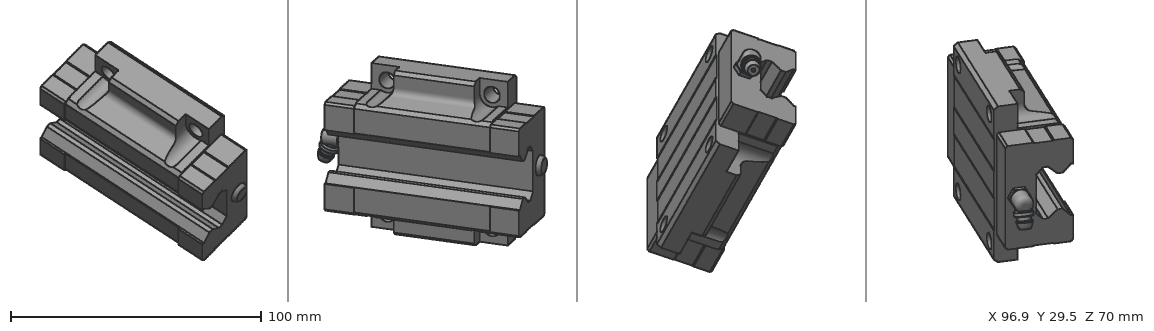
import cadquery as cq
import math


block_length = 58.5
block_bottom = 0.6
block_top = 29.5
flange_half_width = 35.0
flange_underside = 13.4
flange_chamfer_depth = 1.7
flange_chamfer_width = 1.5
wall_root_half_width = 25.7
wall_foot_half_width = 23.8
wall_foot_level = 2.4
foot_half_width = 22.1
root_fillet = 2.9
relief_inner = 6.1
relief_outer = 20.5
relief_depth = 0.3

hole_diameter = 6.8
hole_spacing_x = 45.0
hole_spacing_z = 57.0
pad_level = 19.6
pad_radius = 5.2
pad_wall_half_width = 24.0

channel_roof = 15.4
channel_roof_half_width = 8.6
channel_half_width = 11.5
channel_upper_corner = 12.6
channel_lower_corner = 10.5
ridge_half_width = 8.0
ridge_top = 6.5
ridge_bottom = 4.4
channel_mouth = 1.0

overall_cap_length = 83.5
cap_top = 28.3
cap_half_width = 23.3
cap_chamfer = 1.0
groove_depth = 0.3
groove_top = 16.7
groove_top_inner = 16.3
groove_bottom_inner = 8.5
groove_bottom = 7.95

fitting_level = 22.6
hex_sides = 6
hex_flats = 8.0
hex_thickness = 1.9
hex_bevel_angle = 30
elbow_diameter = 7.9
elbow_length = 9.6
elbow_round = 2.5
nozzle_setback = 5.0
nozzle_tilt = 22.5
stem_radius = 3.3
stem_length = 3.2
collar_radius = 8.0 / 2
collar_start = 4.1
collar_end = 5.8
collar_edge = 0.4
neck_radius = 5.5 / 2
head_start = 7.5
head_radius = 3.4
head_edge = 0.2
head_shoulder = 8.2
head_taper_radius = 2.9
head_taper_start = 9.7
tip_radius = 2.3
nozzle_length = 11.0
bore_diameter = 1.55
bore_depth = 1.0
plug_base_radius = 4.3
plug_tip_radius = 3.2
plug_length = 2.0
plug_mid_radius = 3.9
plug_mid_length = 1.2

cap_face = overall_cap_length / 2
block_face = block_length / 2


def mirrored_prism(half_outline, length):
    """Extrude an outline of (Y, Z) points, mirrored about Z = 0, centred along X."""
    other_half = [(y, -z) for y, z in reversed(half_outline)]
    section = cq.Workplane("YZ").polyline(half_outline + other_half).close()
    return section.extrude(length / 2, both=True)


def make_block():
    block = mirrored_prism(
        [
            (block_top, flange_half_width - flange_chamfer_width),
            (block_top - flange_chamfer_depth, flange_half_width),
            (flange_underside + flange_chamfer_depth, flange_half_width),
            (flange_underside, flange_half_width - flange_chamfer_width),
            (flange_underside, wall_root_half_width),
            (wall_foot_level, wall_foot_half_width),
            (block_bottom, foot_half_width),
        ],
        block_length,
    )
    for side in (-1, 1):
        root = (0, flange_underside, side * wall_root_half_width)
        block = block.edges(cq.selectors.NearestToPointSelector(root)).fillet(root_fillet)
    relief_width = relief_outer - relief_inner
    relief = (
        cq.Workplane("XY")
        .box(block_length, 2 * relief_depth, relief_width)
        .translate((0, block_top, relief_inner + relief_width / 2))
    )
    return block.cut(relief).cut(relief.mirror("XY"))


def make_pad_cut():
    """Clearance below one mounting hole, open to the block end and the flange edge."""
    hole_x = hole_spacing_x / 2
    hole_z = hole_spacing_z / 2
    inner_x = hole_x - pad_radius

    def clearance(x_start, z_start):
        size = (block_face - x_start, pad_level, flange_half_width - z_start)
        return cq.Workplane("XY").box(*size, centered=False).translate((x_start, 0, z_start))

    round_cut = cq.Workplane("XZ").center(hole_x, hole_z).circle(pad_radius).extrude(-pad_level)
    return round_cut.union(clearance(hole_x, pad_wall_half_width)).union(clearance(inner_x, hole_z))


def make_channel():
    return mirrored_prism(
        [
            (channel_roof, channel_roof_half_width),
            (channel_upper_corner, channel_half_width),
            (channel_lower_corner, channel_half_width),
            (ridge_top, ridge_half_width),
            (ridge_bottom, ridge_half_width),
            (channel_mouth, channel_half_width),
            (0, channel_half_width),
        ],
        overall_cap_length,
    )


def make_caps():
    """Both end caps, cut from one bar that leaves a gap for the block."""
    groove_half_width = cap_half_width - groove_depth
    bar = mirrored_prism(
        [
            (cap_top, cap_half_width - cap_chamfer),
            (cap_top - cap_chamfer, cap_half_width),
            (groove_top, cap_half_width),
            (groove_top_inner, groove_half_width),
            (groove_bottom_inner, groove_half_width),
            (groove_bottom, cap_half_width),
            (cap_chamfer, cap_half_width),
            (0, cap_half_width - cap_chamfer),
        ],
        overall_cap_length,
    )
    gap = cq.Workplane("XY").box(block_length, 4 * cap_top, 4 * cap_half_width)
    return bar.cut(gap)


def make_nozzle():
    """Grease nozzle turned about its own axis, tilted down and away from the cap."""
    outline = [
        (0, 0),
        (stem_radius, 0),
        (stem_radius, stem_length),
        (collar_radius, collar_start),
        (collar_radius, collar_end - collar_edge),
        (collar_radius - collar_edge, collar_end),
        (neck_radius, collar_end),
        (neck_radius, head_start),
        (head_radius - head_edge, head_start),
        (head_radius, head_start + head_edge),
        (head_radius, head_shoulder),
        (head_taper_radius, head_taper_start),
        (tip_radius, nozzle_length),
        (0, nozzle_length),
    ]
    nozzle = cq.Workplane("XZ").polyline(outline).close().revolve(360, (0, 0), (0, 1))
    nozzle = nozzle.faces(">Z").workplane().hole(bore_diameter, bore_depth)
    return (
        nozzle.rotate((0, 0, 0), (0, 1, 0), 180 + nozzle_tilt)
        .translate((-cap_face - nozzle_setback, fitting_level, 0))
    )


def make_elbow():
    end_plane = cq.Workplane("YZ", origin=(-cap_face, fitting_level, 0))
    hex_corners = hex_flats / math.cos(math.pi / hex_sides)
    nut = end_plane.polygon(hex_sides, hex_corners).extrude(-hex_thickness)
    bevel_cone = end_plane.workplane(offset=-hex_thickness).circle(hex_flats / 2)
    nut = nut.intersect(bevel_cone.extrude(hex_thickness, taper=hex_bevel_angle - 90))
    body = end_plane.circle(elbow_diameter / 2).extrude(-elbow_length)
    body = body.faces("<X").edges().fillet(elbow_round)
    return body.union(nut).union(make_nozzle())


def make_plug():
    return (
        cq.Workplane("XY")
        .lineTo(0, plug_base_radius)
        .threePointArc((plug_mid_length, plug_mid_radius), (plug_length, plug_tip_radius))
        .lineTo(plug_length, 0)
        .close()
        .revolve(360, (0, 0), (1, 0))
        .translate((cap_face, fitting_level, 0))
    )


block = make_block()
pad_cut = make_pad_cut()
for cut in (pad_cut, pad_cut.mirror("YZ")):
    block = block.cut(cut).cut(cut.mirror("XY"))
holes = (
    cq.Workplane("XZ")
    .rarray(hole_spacing_x, hole_spacing_z, 2, 2)
    .circle(hole_diameter / 2)
    .extrude(-block_top)
)

result = (
    block.cut(holes)
    .union(make_caps())
    .cut(make_channel())
    .union(make_elbow())
    .union(make_plug())
)